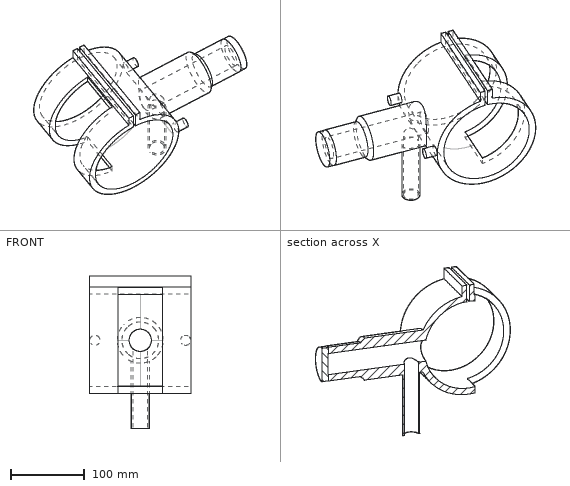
import cadquery as cq

clamp_width = 138.0
ring_outer_radius = 72.5
ring_wall = 9.7
ring_inner_radius = ring_outer_radius - ring_wall

ear_top = 87.3
slot_width = 3.5
slot_centre_y = 0.3
ears_width = 18.0

window_width = 60.5
window_back_y = -10.2

peg_diameter = 13.6
peg_end_y = 88.1
peg_spacing = 122.8

barrel_radius = 31.0
neck_radius = 25.0
cap_radius = 24.7
overall_length = 284.3
spout_end_y = overall_length - ring_outer_radius
cap_length = 9.7
cap_start_y = spout_end_y - cap_length
neck_length = 46.3
shoulder_length = 6.0
bore_diameter = 30.0

stem_diameter = 24.7
stem_bore_diameter = 20.0
stem_y = 82.2
overall_height = 207.0
stem_bottom_z = ear_top - overall_height


def cylinder_along_y(radius, start_y, end_y, x=0):
    """Solid cylinder parallel to Y at height zero."""
    return (
        cq.Workplane("XZ", origin=(x, start_y, 0))
        .circle(radius)
        .extrude(start_y - end_y)
    )


def cylinder_along_x(radius):
    """Solid cylinder as wide as the clamp."""
    return cq.Workplane("YZ").circle(radius).extrude(clamp_width / 2, both=True)


def stem_cylinder(diameter):
    """Vertical cylinder from the stem's lower end up to the spout axis."""
    return (
        cq.Workplane("XY", origin=(0, stem_y, stem_bottom_z))
        .circle(diameter / 2)
        .extrude(-stem_bottom_z)
    )


def make_ring_blank():
    """Solid disc with the ear block and locating pegs, before boring."""
    ears = cq.Workplane("XY").center(0, slot_centre_y).rect(clamp_width, ears_width).extrude(ear_top)
    blank = cylinder_along_x(ring_outer_radius).union(ears)
    for side in (-1, 1):
        peg = cylinder_along_y(peg_diameter / 2, ring_inner_radius, peg_end_y, side * peg_spacing / 2)
        blank = blank.union(peg)
    return blank


def make_spout_blank():
    """Solid stepped spout with its stem, before boring."""
    neck_start_y = cap_start_y - neck_length
    shoulder_start_y = neck_start_y - shoulder_length
    barrel = (
        cq.Workplane("XY")
        .lineTo(barrel_radius, 0)
        .lineTo(barrel_radius, shoulder_start_y)
        .lineTo(neck_radius, neck_start_y)
        .lineTo(neck_radius, cap_start_y)
        .lineTo(0, cap_start_y)
        .close()
        .revolve(360, (0, 0, 0), (0, 1, 0))
    )
    return barrel.union(stem_cylinder(stem_diameter))


def make_clamp_slot():
    """Narrow gap that splits the ears and the top of the ring."""
    return cq.Workplane("XY").center(0, slot_centre_y).rect(clamp_width, slot_width).extrude(ear_top)


def make_window():
    """Block that opens the front of the ring between its two bands."""
    depth = ring_outer_radius + window_back_y
    window = cq.Workplane("XY").box(window_width, depth, 2 * ring_outer_radius)
    return window.translate((0, window_back_y - depth / 2, 0))


def make_housing():
    """Clamp ring, spout and stem in one piece, with connected bores."""
    return (
        make_ring_blank()
        .union(make_spout_blank())
        .cut(cylinder_along_x(ring_inner_radius))
        .cut(make_clamp_slot())
        .cut(make_window())
        .cut(cylinder_along_y(bore_diameter / 2, 0, cap_start_y))
        .cut(stem_cylinder(stem_bore_diameter))
    )


def make_end_cap():
    """Disc that closes the outer end of the spout bore."""
    return cylinder_along_y(cap_radius, cap_start_y, spout_end_y)


housing = make_housing()
end_cap = make_end_cap()
result = cq.Compound.makeCompound([housing.solids().val(), end_cap.val()])